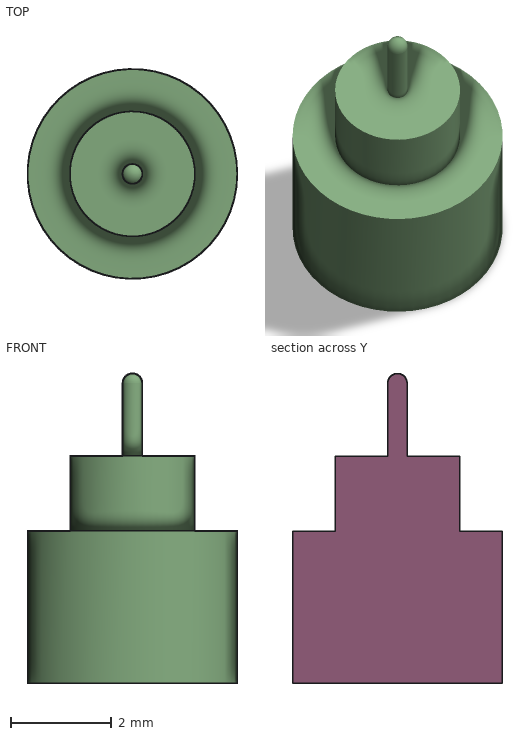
import cadquery as cq

total_height = 6.2
body_diameter = 4.2
body_height = 3.05
neck_diameter = 2.5
neck_height = 1.5
pin_diameter = 0.395

pin_radius = pin_diameter / 2
neck_top = body_height + neck_height
pin_height = total_height - neck_top

body = cq.Workplane("XY").circle(body_diameter / 2).extrude(body_height)

neck = cq.Workplane("XY").workplane(offset=body_height).circle(neck_diameter / 2).extrude(neck_height)

shank_height = pin_height - pin_radius
shank = cq.Workplane("XY").workplane(offset=neck_top).circle(pin_radius).extrude(shank_height)
tip = cq.Workplane("XY").sphere(pin_radius).translate((0, 0, neck_top + shank_height))

result = body.union(neck).union(shank).union(tip)